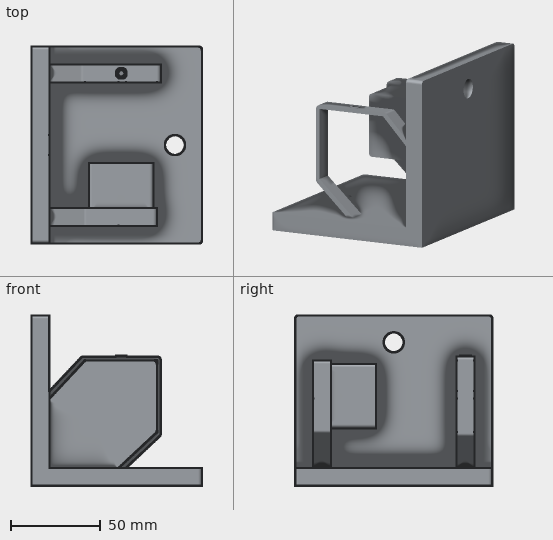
import cadquery as cq

width = 110.0
leg_length = 95.0
thickness = 10.0
edge_radius = 2.0

hole_diameter = 11.0
hole_offset = 80.0

frame_reach = 72.0
frame_shoulder = 28.2
frame_foot = 52.8
frame_wall = 2.1
web_reach = frame_reach - frame_wall
web_shoulder = 29.9
web_foot = 48.6
web_front = thickness
web_back = web_front + thickness
frame_back = width - thickness
frame_front = frame_back - thickness

block_near = 32.0
block_far = 68.0
block_length = 25.0

nipple_x = 50.0
nipple_y = (frame_front + frame_back) / 2
nipple_diameter = 6.0
nipple_bore = 3.6
nipple_height = 0.5
nipple_bore_depth = 1.3


def prism(points, y_start, y_end):
    """Extrude an XZ outline along +Y from y_start to y_end."""
    plane = cq.Workplane("XZ", origin=(0, y_start, 0))
    return plane.polyline(points).close().extrude(y_start - y_end)


def corner_outline(reach, shoulder, foot):
    """Square outline in the inside corner, with two corners cut off at a slant."""
    return [
        (thickness, thickness),
        (foot, thickness),
        (reach, shoulder),
        (reach, reach),
        (shoulder, reach),
        (thickness, foot),
    ]


def corner_plate(reach, shoulder, foot, y_start, y_end):
    """Plate filling the inside corner, with its free edges rounded."""
    plate = prism(corner_outline(reach, shoulder, foot), y_start, y_end)
    outer_corners = [(reach, shoulder), (reach, reach), (shoulder, reach)]
    for x, z in outer_corners:
        corner = cq.selectors.NearestToPointSelector((x, (y_start + y_end) / 2, z))
        plate = plate.edges(corner).fillet(edge_radius)
    return plate


def make_bracket():
    base = cq.Workplane("XY").box(leg_length, width, thickness, centered=False)
    base = base.edges("|Z and >X").fillet(edge_radius)
    upright = cq.Workplane("XY").box(thickness, width, leg_length, centered=False)
    upright = upright.edges("|X and >Z").fillet(edge_radius)
    base_hole = cq.Workplane("XY").center(hole_offset, width / 2).circle(hole_diameter / 2)
    upright_hole = cq.Workplane("YZ").center(width / 2, hole_offset).circle(hole_diameter / 2)
    bracket = base.union(upright)
    return bracket.cut(base_hole.extrude(thickness)).cut(upright_hole.extrude(thickness))


def make_frame():
    outside = corner_plate(frame_reach, frame_shoulder, frame_foot, frame_front, frame_back)
    opening = prism(corner_outline(web_reach, web_shoulder, web_foot), frame_front, frame_back)
    return outside.cut(opening)


def make_block():
    size = block_far - block_near
    block = cq.Workplane("XY").box(size, block_length, size, centered=False)
    block = block.edges("|Y").fillet(edge_radius)
    return block.translate((block_near, web_back, block_near))


def make_nipple():
    plane = cq.Workplane("XY", origin=(nipple_x, nipple_y, frame_reach))
    return plane.circle(nipple_diameter / 2).extrude(nipple_height)


def make_nipple_bore():
    nipple_top = frame_reach + nipple_height
    plane = cq.Workplane("XY", origin=(nipple_x, nipple_y, nipple_top))
    return plane.circle(nipple_bore / 2).extrude(-nipple_bore_depth)


web = corner_plate(web_reach, web_shoulder, web_foot, web_front, web_back)
frame = make_frame().union(make_nipple()).cut(make_nipple_bore())
result = make_bracket().union(web).union(make_block()).union(frame)